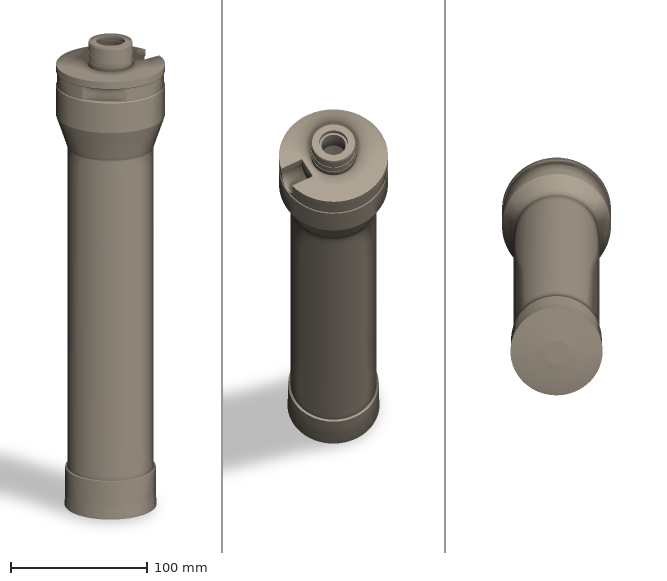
import cadquery as cq
import math

TOTAL_HEIGHT = 364.0
FOOT_CONE_HEIGHT = 2.2
CAP_SEAM_Z = 12.5
CAP_TOP_Z = 31.5
NECK_BOTTOM_Z = 281.7
TAPER_BOTTOM_Z = 283.5
TAPER_TOP_Z = 306.5
COLLAR_BOTTOM_Z = 330.0
FLANGE_BOTTOM_Z = 340.5
COLLAR_TOP_Z = 346.0

HEAD_DIAMETER = 80.0
TUBE_DIAMETER = 63.0
NECK_DIAMETER = 64.5
CAP_DIAMETER = 66.5
CAP_RIM_DIAMETER = 67.7
FOOT_DIAMETER = 18.0
EDGE_CHAMFER = 0.55

POST_DIAMETER = 46.5
POST_FLAT_Y = 22.0

SPIGOT_DIAMETER = 32.5
SPIGOT_TIP_DIAMETER = 31.5
SPIGOT_TIP_HEIGHT = 1.5
RING_GROOVE_DIAMETER = 31.5
RING_GROOVES = [(355.3, 357.0), (349.5, 353.8)]
RELIEF_DIAMETER = 34.2
RELIEF_DEPTH = 1.0

BORE_DIAMETER = 18.0
BORE_MOUTH_DIAMETER = 21.0
BORE_MOUTH_DEPTH = 3.3
BORE_DEPTH = 18.2
BORE_TIP_ANGLE = 30.0
BORE_TIP_HEIGHT = BORE_DIAMETER / 2 * math.tan(math.radians(BORE_TIP_ANGLE))

COLLAR_WAIST_DIAMETER = 78.5
WAIST_FLAT_DISTANCE = 35.5
WAIST_FLAT_DIRECTION = -45.0

SLOT_WIDTH = 16.7
SLOT_OPENING_WIDTH = 1.5


def disc(diameter, bottom, top):
    """Upright cylinder on the Z axis between two heights."""
    return cq.Workplane("XY").workplane(offset=bottom).circle(diameter / 2).extrude(top - bottom)


def ring(outer_diameter, inner_diameter, bottom, top):
    """Upright ring on the Z axis between two heights."""
    return disc(outer_diameter, bottom, top).cut(disc(inner_diameter, bottom, top))


def revolve_profile(points):
    """Solid of revolution about Z from (radius, height) points."""
    return cq.Workplane("XZ").polyline(points).close().revolve(360, (0, 0), (0, 1))


def make_post(bottom, top):
    """Cylinder with a locating flat on its +Y side."""
    beyond_flat = (
        cq.Workplane("XY")
        .box(POST_DIAMETER, POST_DIAMETER, top - bottom, centered=(True, False, False))
        .translate((0, POST_FLAT_Y, bottom))
    )
    return disc(POST_DIAMETER, bottom, top).cut(beyond_flat)


def make_bore_cutter():
    """Blind bore with a wider mouth and a conical tip."""
    bore_bottom_z = TOTAL_HEIGHT - BORE_DEPTH
    mouth_bottom_z = TOTAL_HEIGHT - BORE_MOUTH_DEPTH
    return revolve_profile([
        (0, bore_bottom_z - BORE_TIP_HEIGHT),
        (BORE_DIAMETER / 2, bore_bottom_z),
        (BORE_DIAMETER / 2, mouth_bottom_z),
        (BORE_MOUTH_DIAMETER / 2, mouth_bottom_z),
        (BORE_MOUTH_DIAMETER / 2, TOTAL_HEIGHT),
        (0, TOTAL_HEIGHT),
    ])


def make_spigot():
    """Stub with a tapered tip and ring grooves, rooted at the bottom of its relief ring."""
    root_z = COLLAR_TOP_Z - RELIEF_DEPTH
    spigot = revolve_profile([
        (0, root_z),
        (SPIGOT_DIAMETER / 2, root_z),
        (SPIGOT_DIAMETER / 2, TOTAL_HEIGHT - SPIGOT_TIP_HEIGHT),
        (SPIGOT_TIP_DIAMETER / 2, TOTAL_HEIGHT),
        (0, TOTAL_HEIGHT),
    ])
    for bottom, top in RING_GROOVES:
        spigot = spigot.cut(ring(SPIGOT_DIAMETER, RING_GROOVE_DIAMETER, bottom, top))
    return spigot


def make_housing():
    """Tube with a foot cap and a flared head, topped by the post and the bored spigot."""
    body = revolve_profile([
        (0, 0),
        (FOOT_DIAMETER / 2, 0),
        (CAP_RIM_DIAMETER / 2, FOOT_CONE_HEIGHT),
        (CAP_DIAMETER / 2, CAP_SEAM_Z),
        (CAP_DIAMETER / 2, CAP_TOP_Z),
        (TUBE_DIAMETER / 2, CAP_TOP_Z),
        (TUBE_DIAMETER / 2, NECK_BOTTOM_Z),
        (NECK_DIAMETER / 2, TAPER_BOTTOM_Z),
        (HEAD_DIAMETER / 2, TAPER_TOP_Z),
        (HEAD_DIAMETER / 2, COLLAR_BOTTOM_Z - EDGE_CHAMFER),
        (HEAD_DIAMETER / 2 - EDGE_CHAMFER, COLLAR_BOTTOM_Z),
        (0, COLLAR_BOTTOM_Z),
    ])
    relief = disc(RELIEF_DIAMETER, COLLAR_TOP_Z - RELIEF_DEPTH, COLLAR_TOP_Z)
    post = make_post(COLLAR_BOTTOM_Z, COLLAR_TOP_Z).cut(relief)
    return body.union(post).union(make_spigot()).cut(make_bore_cutter())


def make_slot_cutter():
    """Slot with a half-round floor, running outward along +Y from the post flat."""
    radius = SLOT_WIDTH / 2
    spring_z = COLLAR_BOTTOM_Z + math.sqrt(radius**2 - (SLOT_OPENING_WIDTH / 2) ** 2)
    return (
        cq.Workplane("XZ", origin=(0, POST_FLAT_Y, 0))
        .moveTo(-radius, COLLAR_TOP_Z)
        .lineTo(-radius, spring_z)
        .threePointArc((0, spring_z - radius), (radius, spring_z))
        .lineTo(radius, COLLAR_TOP_Z)
        .close()
        .extrude(-HEAD_DIAMETER)
    )


def make_waist_flat_cutter():
    """Block that leaves a flat on the side of the collar waist."""
    height = FLANGE_BOTTOM_Z - COLLAR_BOTTOM_Z
    return (
        cq.Workplane("XY")
        .box(HEAD_DIAMETER, HEAD_DIAMETER, height, centered=(False, True, False))
        .translate((WAIST_FLAT_DISTANCE, 0, COLLAR_BOTTOM_Z))
        .rotate((0, 0, 0), (0, 0, 1), WAIST_FLAT_DIRECTION)
    )


def make_collar():
    """Flanged ring with a flat on its waist, a slot and an opening that fits the post."""
    blank = revolve_profile([
        (0, COLLAR_BOTTOM_Z),
        (COLLAR_WAIST_DIAMETER / 2, COLLAR_BOTTOM_Z),
        (COLLAR_WAIST_DIAMETER / 2, FLANGE_BOTTOM_Z),
        (HEAD_DIAMETER / 2 - EDGE_CHAMFER, FLANGE_BOTTOM_Z),
        (HEAD_DIAMETER / 2, FLANGE_BOTTOM_Z + EDGE_CHAMFER),
        (HEAD_DIAMETER / 2, COLLAR_TOP_Z),
        (0, COLLAR_TOP_Z),
    ])
    opening = make_post(COLLAR_BOTTOM_Z, COLLAR_TOP_Z)
    return blank.cut(opening).cut(make_waist_flat_cutter()).cut(make_slot_cutter())


housing = make_housing()
collar = make_collar()
result = cq.Compound.makeCompound([housing.solids().val(), collar.solids().val()])